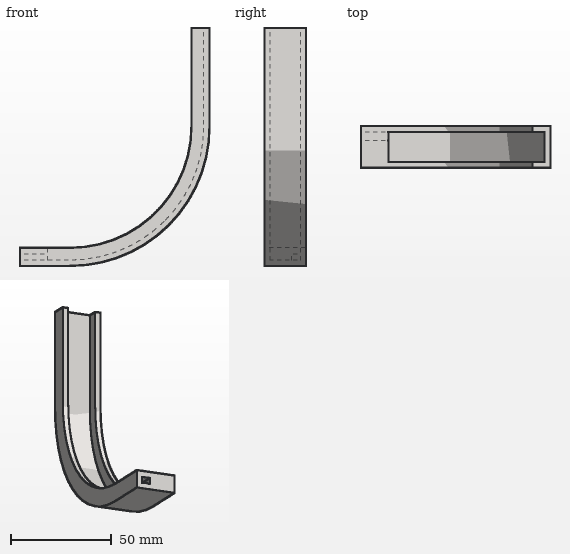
import cadquery as cq
import math

length = 94.1
width = 20.8
height = 118.1

depth = 9.1
wall = 3.0
outer_radius = 69.1
end_block = 13.7

hole_width = 4.3
hole_height = 3.0


def bent_strip(start_x, inset, thickness, strip_width):
    """Strip following the bend, inset from its outer face and centred on Y."""
    outer_r = outer_radius - inset
    inner_r = outer_r - thickness
    bend_x = length - outer_radius
    bend_z = outer_radius
    diagonal = math.sqrt(0.5)

    def arc_middle(radius):
        return bend_x + radius * diagonal, bend_z - radius * diagonal

    return (
        cq.Workplane("XZ")
        .moveTo(start_x, bend_z - outer_r)
        .lineTo(bend_x, bend_z - outer_r)
        .threePointArc(arc_middle(outer_r), (bend_x + outer_r, bend_z))
        .lineTo(bend_x + outer_r, height)
        .lineTo(bend_x + inner_r, height)
        .lineTo(bend_x + inner_r, bend_z)
        .threePointArc(arc_middle(inner_r), (bend_x, bend_z - inner_r))
        .lineTo(start_x, bend_z - inner_r)
        .close()
        .extrude(strip_width / 2, both=True)
    )


body = bent_strip(0, 0, depth, width)
channel = bent_strip(end_block, wall, depth - wall, width - 2 * wall)

cable_hole = (
    cq.Workplane("XY")
    .box(end_block, hole_width, hole_height, centered=False)
    .translate((0, width / 2 - wall - hole_width, wall))
)

result = body.cut(channel).cut(cable_hole)